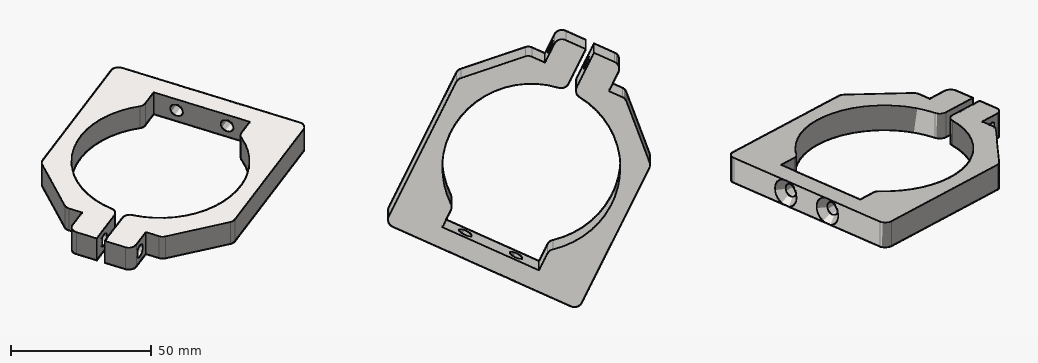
import cadquery as cq
import math

width = 76.2
length = 90.2
thickness = 10.2
corner_radius = 3.0

lug_width = 25.25
lug_length = 10.8
shoulder_chamfer = 19.0

bore_radius = 31.7
bore_y = 48.9
recess_width = 38.05
back_wall = 7.5
slit_width = 3.2

hole_diameter = 5.0
clamp_hole_y = 5.95
clamp_hole_flat = 1.6
mount_hole_spacing = 20.0
countersink_diameter = 10.4
countersink_angle = 90.0

half_width = width / 2
half_lug = lug_width / 2
half_recess = recess_width / 2
half_slit = slit_width / 2
recess_y = length - back_wall
bore_recess_y = bore_y + math.sqrt(bore_radius**2 - half_recess**2)
bore_slit_y = bore_y - math.sqrt(bore_radius**2 - half_slit**2)
shoulder_x = half_width - shoulder_chamfer
shoulder_top_y = lug_length + shoulder_chamfer


def round_vertical_edges(body, points):
    """Round the upright edges of the body at mirrored pairs of plan points."""
    for x, y in points:
        for side in (-1, 1):
            edge = body.edges(cq.selectors.NearestToPointSelector((side * x, y, 0)))
            body = edge.fillet(corner_radius)
    return body


def clamp_body():
    """Plate with chamfered shoulders, split lugs, bore and square recess."""
    plate = (
        cq.Workplane("XY", origin=(0, 0, -thickness / 2))
        .moveTo(-half_lug, 0)
        .lineTo(half_lug, 0)
        .lineTo(half_lug, lug_length)
        .lineTo(shoulder_x, lug_length)
        .lineTo(half_width, shoulder_top_y)
        .lineTo(half_width, length)
        .lineTo(-half_width, length)
        .lineTo(-half_width, shoulder_top_y)
        .lineTo(-shoulder_x, lug_length)
        .lineTo(-half_lug, lug_length)
        .close()
        .extrude(thickness)
    )
    bore = cq.Workplane("XY").center(0, bore_y).circle(bore_radius).extrude(thickness, both=True)
    recess_depth = recess_y - bore_y
    recess = cq.Workplane("XY").box(recess_width, recess_depth, thickness)
    recess = recess.translate((0, bore_y + recess_depth / 2, 0))
    slit = cq.Workplane("XY").box(slit_width, bore_y, thickness).translate((0, bore_y / 2, 0))
    body = plate.cut(bore).cut(recess).cut(slit)

    rounded_corners = [
        (half_width, length),
        (half_width, shoulder_top_y),
        (shoulder_x, lug_length),
        (half_lug, 0),
        (half_slit, bore_slit_y),
        (half_recess, bore_recess_y),
    ]
    return round_vertical_edges(body, rounded_corners)


def clamp_hole():
    """D-shaped cross hole through both lugs, flat towards the lug ends."""
    half_flat = math.sqrt((hole_diameter / 2) ** 2 - clamp_hole_flat**2)
    return (
        cq.Workplane("YZ", origin=(-half_lug, clamp_hole_y, 0))
        .moveTo(-clamp_hole_flat, -half_flat)
        .threePointArc((hole_diameter / 2, 0), (-clamp_hole_flat, half_flat))
        .close()
        .extrude(lug_width)
    )


def mount_hole(x):
    """Hole through the back wall with a countersink in the back face."""
    cone_depth = (countersink_diameter - hole_diameter) / 2 / math.tan(math.radians(countersink_angle / 2))
    half_profile = [
        (0, 0),
        (countersink_diameter / 2, 0),
        (hole_diameter / 2, -cone_depth),
        (hole_diameter / 2, -back_wall),
        (0, -back_wall),
    ]
    profile = cq.Workplane("XY", origin=(x, length, 0)).polyline(half_profile).close()
    return profile.revolve(360, (0, 0, 0), (0, 1, 0))


result = clamp_body().cut(clamp_hole())
for side in (-1, 1):
    result = result.cut(mount_hole(side * mount_hole_spacing / 2))